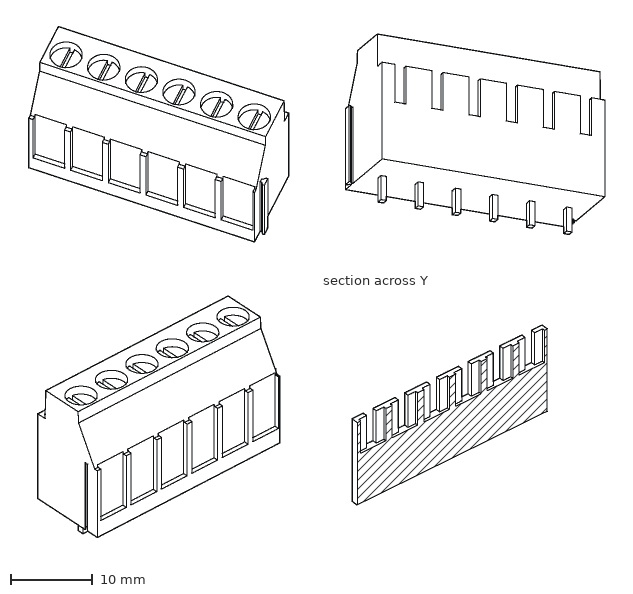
import cadquery as cq


pole_count = 6
pole_pitch = 5.0
first_pole_x = 2.55

overall_length = 30.65
key_reach = 0.67
housing_length = overall_length - key_reach
housing_depth = 11.0
housing_height = 17.1
front_ledge_depth = 0.5
front_ledge_z = 10.08
slope_top_y = 3.45
slope_top_z = 15.45
top_front_y = 3.55
top_back_y = 9.53
back_wall_y = 9.65
back_ledge_z = 12.8

window_width = 4.2
window_depth = 0.65
window_bottom_z = 2.3
window_shift = 0.12

screw_diameter = 3.95
screw_y = 5.85
screw_well_depth = 1.2
driver_slot_width = 0.6
driver_slot_depth = 0.8

label_head_width = 3.95
label_stem_width = 1.5
label_stem_depth = 0.65
label_slot_depth = 5.0

pin_width = 0.75
pin_thickness = 0.92
pin_length = 3.2
pin_y = 5.55

key_y = 2.05
key_neck_width = 0.45
key_neck_length = 0.18
key_head_width = 1.1
key_head_length = 0.2
key_height = front_ledge_z

pole_positions = [first_pole_x + pole_pitch * index for index in range(pole_count)]


def box(x_min, x_max, y_min, y_max, z_min, z_max):
    """Axis-aligned block between the given limits."""
    size = (x_max - x_min, y_max - y_min, z_max - z_min)
    return cq.Workplane("XY").box(*size, centered=False).translate((x_min, y_min, z_min))


def centered_box(x_center, width, y_min, y_max, z_min, z_max):
    """Block of the given width, centered on a position along the row."""
    return box(x_center - width / 2, x_center + width / 2, y_min, y_max, z_min, z_max)


def housing():
    """Side profile with a sloped front and a stepped back, drawn along the row."""
    profile = [
        (0, 0),
        (housing_depth, 0),
        (housing_depth, back_ledge_z),
        (back_wall_y, back_ledge_z),
        (top_back_y, housing_height),
        (top_front_y, housing_height),
        (slope_top_y, slope_top_z),
        (front_ledge_depth, front_ledge_z),
        (0, front_ledge_z),
    ]
    return cq.Workplane("YZ").polyline(profile).close().extrude(housing_length)


def dovetail(base_x):
    """Upright key with a straight neck and a flared head, pointing toward +X."""
    neck_half = key_neck_width / 2
    head_half = key_head_width / 2
    neck_end_x = base_x + key_neck_length
    tip_x = base_x + key_reach
    head_start_x = tip_x - key_head_length
    outline = [
        (base_x, key_y - neck_half),
        (neck_end_x, key_y - neck_half),
        (head_start_x, key_y - head_half),
        (tip_x, key_y - head_half),
        (tip_x, key_y + head_half),
        (head_start_x, key_y + head_half),
        (neck_end_x, key_y + neck_half),
        (base_x, key_y + neck_half),
    ]
    return cq.Workplane("XY").polyline(outline).close().extrude(key_height)


def wire_window(pole_x):
    """Shallow recess that runs up and out through the sloped front."""
    window_x = pole_x + window_shift
    return centered_box(window_x, window_width, 0, window_depth, window_bottom_z, housing_height)


def screw_bore(pole_x, bottom_z, top_z):
    """Cylinder of the screw diameter between two heights."""
    bore = cq.Workplane("XY", origin=(pole_x, screw_y, bottom_z)).circle(screw_diameter / 2)
    return bore.extrude(top_z - bottom_z)


def screw_well(pole_x):
    """Round well down to the screw head, with the driver slot cut across the head."""
    head_z = housing_height - screw_well_depth
    slot_floor_z = head_z - driver_slot_depth
    slot = centered_box(pole_x, driver_slot_width, 0, housing_depth, slot_floor_z, head_z)
    slot = slot.intersect(screw_bore(pole_x, slot_floor_z, head_z))
    return screw_bore(pole_x, head_z, housing_height).union(slot)


def label_slot(pole_x):
    """T-shaped slot, blind from the back ledge, with its stem open to the back face."""
    floor_z = back_ledge_z - label_slot_depth
    stem_start_y = housing_depth - label_stem_depth
    head = centered_box(pole_x, label_head_width, back_wall_y, stem_start_y, floor_z, back_ledge_z)
    stem = centered_box(pole_x, label_stem_width, stem_start_y, housing_depth, floor_z, back_ledge_z)
    return head.union(stem)


def solder_pin(pole_x):
    """Straight rectangular pin below the housing."""
    pin_half = pin_thickness / 2
    return centered_box(pole_x, pin_width, pin_y - pin_half, pin_y + pin_half, -pin_length, 0)


result = housing().cut(dovetail(0)).union(dovetail(housing_length))

for pole_x in pole_positions:
    result = result.cut(wire_window(pole_x))
    result = result.cut(screw_well(pole_x))
    result = result.cut(label_slot(pole_x))
    result = result.union(solder_pin(pole_x))